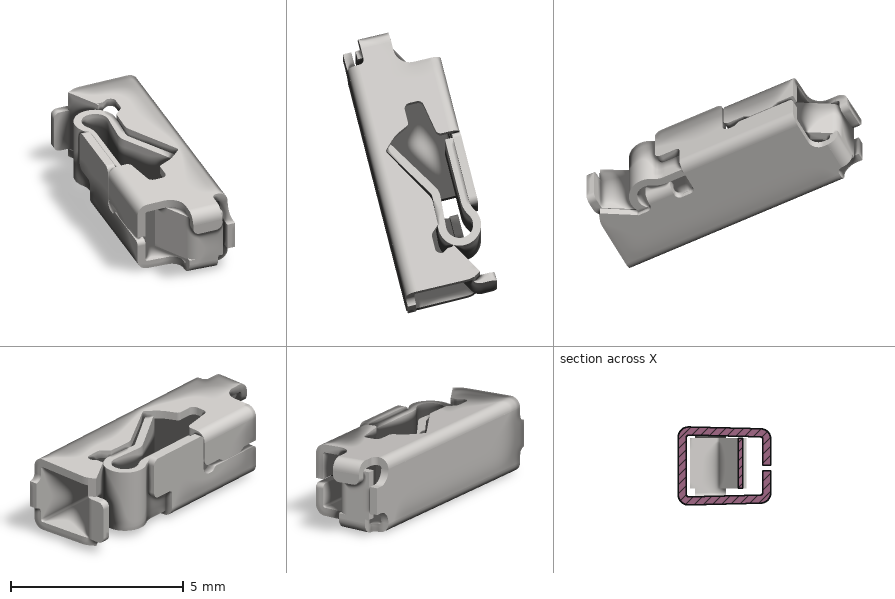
import cadquery as cq
import math


sheet = 0.25
leaf = 0.23
length = 8
depth = 2.7
half_height_back = 2.3 / 2
half_height_front = 1.08
bend_radius = 0.31
slope = math.radians(30)

cage_left = 0.2
cage_right = 7.19
front_right = 6.9
flap_left = 4.63
plate_left = 2.39
plate_foot = 3.18

mid = sheet / 2
taper = math.degrees(math.atan((half_height_back - half_height_front) / depth))
bend_end = half_height_front - bend_radius


tolerance = 8e-08


def unit(start, end):
    """Direction from one point to another as a unit vector."""
    distance = math.hypot(end[0] - start[0], end[1] - start[1])
    return (end[0] - start[0]) / distance, (end[1] - start[1]) / distance


def rounded_outline(plane, corners):
    """Closed wire through (u, v, radius) corners, each rounded by a tangent arc."""
    pieces = []
    for i, (u, v, radius) in enumerate(corners):
        to_prev = unit((u, v), corners[i - 1])
        to_next = unit((u, v), corners[(i + 1) % len(corners)])
        half_angle = math.acos(to_prev[0] * to_next[0] + to_prev[1] * to_next[1]) / 2
        reach = radius / math.tan(half_angle)
        bisector = unit((0, 0), (to_prev[0] + to_next[0], to_prev[1] + to_next[1]))
        to_arc = radius / math.sin(half_angle) - radius
        start = (u + reach * to_prev[0], v + reach * to_prev[1])
        middle = (u + to_arc * bisector[0], v + to_arc * bisector[1])
        end = (u + reach * to_next[0], v + reach * to_next[1])
        pieces.append((radius, start, middle, end))

    wire = plane.moveTo(*pieces[0][3])
    here = pieces[0][3]
    for radius, start, middle, end in pieces[1:] + pieces[:1]:
        if math.dist(here, start) > tolerance:
            wire = wire.lineTo(*start)
        if radius > 0:
            wire = wire.threePointArc(middle, end)
        here = end
    return wire.close()


def prism(plane_name, corners, start, end):
    """Rounded outline extruded between two positions along the third axis."""
    direction = -1 if plane_name == "XZ" else 1
    plane = cq.Workplane(plane_name).workplane(offset=direction * start)
    return rounded_outline(plane, corners).extrude(direction * (end - start))


def bent_strip(plane_name, path, start, end, thickness=sheet):
    """Strip of even thickness that follows a centre line of (u, v, bend radius) points."""
    sides = []
    last = len(path) - 1
    for offset in (thickness / 2, -thickness / 2):
        side = []
        for i, (u, v, radius) in enumerate(path):
            before = unit(path[max(i - 1, 0)], path[max(i, 1)])
            after = unit(path[min(i, last - 1)], path[min(i + 1, last)])
            spread = 1 + before[0] * after[0] + before[1] * after[1]
            turn = before[0] * after[1] - before[1] * after[0]
            shift_u = -offset * (before[1] + after[1]) / spread
            shift_v = offset * (before[0] + after[0]) / spread
            side_radius = radius - math.copysign(1, turn) * offset if radius > 0 else 0
            side.append((u + shift_u, v + shift_v, side_radius))
        sides.append(side)
    return prism(plane_name, sides[0] + sides[1][::-1], start, end)


def block(x, y, z):
    """Box given by its (low, high) range along each axis."""
    size = (x[1] - x[0], y[1] - y[0], z[1] - z[0])
    return cq.Workplane("XY").box(*size, centered=False).translate((x[0], y[0], z[0]))


lip_outer = 0.14
lip_bend = (lip_outer + mid, 0.55, 0.2)
lip_panel_run = 0.98
lip_bottom = -0.82
lip_top = 0.5
tab_corner = 0.19
nose_x = 0.35


def slant_face(x):
    """Y of the panel's front face; the cage walls are trimmed flush with it."""
    return lip_bend[1] + (x - lip_bend[0]) * math.tan(slope) - mid / math.cos(slope)


tab_front = 1.3
tab_back = 2.2
top_bend_x = 7.63
bottom_bend_x = 7.36
top_root = 0.48
bottom_root = 0.34

nose_start_y = slant_face(nose_x) + (nose_x - cage_left) / math.tan(slope)
left_edge = [
    (cage_left, depth, 0),
    (cage_left, nose_start_y, 0.56),
    (nose_x, slant_face(nose_x), 0),
]


def right_edge(tab_end, tab_root):
    return [
        (front_right, 0, 0),
        (front_right, tab_front, tab_root),
        (tab_end, tab_front, 0),
        (tab_end, tab_back, 0),
        (cage_right, tab_back, 0.16),
        (cage_right, depth, 0),
    ]


panel_notch_x = 1.26
top_outline = left_edge + [
    (panel_notch_x, slant_face(panel_notch_x), 0),
    (panel_notch_x, 1.19, 0.08),
    (1.14, 1.36, 0.08),
    (1.19, 1.56, 0.16),
    (1.76, 1.56, 0.16),
    (2.0, 1.3, 0.04),
    (2.8, 1.28, 0.4),
    (4.5, 2.26, 0.1),
    (4.88, 1.88, 0.96),
    (5.11, 1.41, 0.11),
    (5.74, 1.41, 0.18),
    (5.74, 0.86, 0.18),
    (flap_left, 0.66, 0.16),
    (flap_left, 0, 0),
] + right_edge(top_bend_x, top_root)

tongue_left = 1.78
tongue_right = 2.58
tongue_front = 0.55
notch_y = 1.02
notch_corner = 0.15
tongue_bend_y = 0.86
slant_end_x = 1.3
bottom_outline = left_edge + [
    (slant_end_x, slant_face(slant_end_x), 0),
    (slant_end_x, notch_y, 0),
    (tongue_left, notch_y, notch_corner),
    (tongue_left, tongue_bend_y, 0),
    (tongue_right, tongue_bend_y, 0),
    (tongue_right, notch_y, notch_corner),
    (plate_foot, notch_y, notch_corner),
    (plate_foot, 0, 0),
] + right_edge(bottom_bend_x, bottom_root)

section = [
    (0, -half_height_front),
    (depth, -half_height_back),
    (depth, half_height_back),
    (0, half_height_front),
]
tube_outer = cq.Workplane("YZ").polyline(section).close().extrude(length).edges("|X").fillet(bend_radius)
tube_inner = tube_outer.faces("<X").wires().toPending().offset2D(-sheet).extrude(length, combine=False)
tube = tube_outer.cut(tube_inner)
tube = tube.cut(block((0, length), (0, sheet), (-bend_end, bend_end)))

wall_back_edge = half_height_back - bend_radius
upper = tube.intersect(prism("XY", top_outline, 0, half_height_back))
lower = tube.intersect(prism("XY", bottom_outline, -half_height_back, 0))
cage = upper.union(lower)

tab_half = 0.41
left_root = 0.19
right_root = 0.4
left_tab_end = 0
right_tab_end = 7.78
back_profile = [
    (cage_left, -wall_back_edge, 0),
    (cage_left, -tab_half, left_root),
    (left_tab_end, -tab_half, 0),
    (left_tab_end, tab_half, 0),
    (cage_left, tab_half, left_root),
    (cage_left, wall_back_edge, 0),
    (cage_right, wall_back_edge, 0),
    (cage_right, tab_half, right_root),
    (right_tab_end, tab_half, 0),
    (right_tab_end, -tab_half, 0),
    (cage_right, -tab_half, right_root),
    (cage_right, -wall_back_edge, 0),
]
back_wall = prism("XZ", back_profile, depth - sheet, depth)

plate_right = 4.58
plate_top = 1.06
plate_step = -0.2
relief_bottom = -0.27
seam_low = -0.14
plate_profile = [
    (plate_foot, -bend_end, 0),
    (plate_foot, plate_step, 0.12),
    (plate_left, plate_step, 0.19),
    (plate_left, plate_top, 0.19),
    (plate_right, plate_top, 0.16),
    (plate_right, relief_bottom, 0.26),
    (4.98, relief_bottom, 0.16),
    (5.12, seam_low, 0.12),
    (front_right, seam_low, 0.14),
    (front_right, -bend_end, 0),
]
plate = prism("XZ", plate_profile, 0, sheet)

flap_bottom = 0.02
bump_bottom = -0.1
flap_profile = [
    (flap_left, bend_end, 0),
    (flap_left, flap_bottom, 0.18),
    (5.28, flap_bottom, 0.08),
    (5.47, bump_bottom, 0.08),
    (6.19, bump_bottom, 0.08),
    (6.38, flap_bottom, 0.08),
    (front_right, flap_bottom, 0),
    (front_right, bend_end, 0),
]
flap = prism("XZ", flap_profile, 0, sheet)

panel_end_x = lip_bend[0] + lip_panel_run
panel_end = (panel_end_x, lip_bend[1] + lip_panel_run * math.tan(slope), 0)
panel_top = half_height_front
lip = bent_strip("XY", [(lip_bend[0], 0, 0), lip_bend, panel_end], lip_bottom, lip_top)
lip = lip.edges("|X and <Y").fillet(tab_corner)

nose = (nose_x - mid * math.sin(slope), slant_face(nose_x) + mid * math.cos(slope), 0)
panel = bent_strip("XY", [nose, panel_end], lip_top, panel_top)

end_bend = 0.22
top_tab_x = length - mid
end_wall_outer = 7.69
end_wall_x = end_wall_outer - mid
end_wall_bottom = -0.65
end_wall_top = 0.81
tab_overlap = 0.06
wall_mid_z = half_height_front - mid

top_path = [(top_bend_x - mid, wall_mid_z, 0), (top_tab_x, wall_mid_z, end_bend), (top_tab_x, tab_half, 0)]
top_tab = bent_strip("XZ", top_path, tab_front, tab_back)
top_tab = top_tab.edges("|X and <Z").fillet(tab_corner)
top_tab = top_tab.rotate((0, 0, half_height_front), (1, 0, half_height_front), taper)

bottom_path = [
    (bottom_bend_x - mid, -wall_mid_z, 0),
    (end_wall_x, -wall_mid_z, end_bend),
    (end_wall_x, end_wall_bottom + tab_overlap, 0),
]
bottom_tab = bent_strip("XZ", bottom_path, tab_front, tab_back)
bottom_tab = bottom_tab.rotate((0, 0, -half_height_front), (1, 0, -half_height_front), -taper)

end_wall_back = 2.35
guide_end = (6.45, 0.82, 0)
guide_bend_y = guide_end[1] + (end_wall_x - guide_end[0]) * math.tan(slope)
end_path = [(end_wall_x, end_wall_back, 0), (end_wall_x, guide_bend_y, 0.2), guide_end]
end_wall = bent_strip("XY", end_path, end_wall_bottom, end_wall_top)

tongue_top = -0.48
tongue_mid_y = tongue_front + mid
tongue_floor = -half_height_front + mid
tongue_path = [(notch_y, tongue_floor, 0), (tongue_mid_y, tongue_floor, 0.14), (tongue_mid_y, tongue_top, 0)]
tongue = bent_strip("YZ", tongue_path, tongue_left, tongue_right)
tongue = tongue.edges("|Y and >Z").fillet(tab_corner)
tongue = tongue.rotate((0, 0, -half_height_front), (1, 0, -half_height_front), -taper)

loop_x = 1.89
loop_y = 0.69
loop_radius = 0.51
spring_half = 0.94
strip_y = sheet + leaf / 2
strip_end = 4.46
rise = math.radians(30)
leg_drop = math.radians(4)
tip = (4.86, 2.27, 0)
blade_slope = math.radians(31.5)

loop_left = loop_x - loop_radius
loop_low = loop_y - loop_radius * math.tan((math.pi / 2 + rise) / 2)
loop_high = loop_y + loop_radius * math.tan((math.pi / 2 + leg_drop) / 2)
rise_x = loop_left + (strip_y - loop_low) / math.tan(rise)
blade_drop = loop_high - tip[1] + (tip[0] - loop_left) * math.tan(blade_slope)
knee_run = blade_drop / (math.tan(blade_slope) + math.tan(leg_drop))
knee_x = loop_left + knee_run
knee_y = loop_high - knee_run * math.tan(leg_drop)
spring_path = [
    (strip_end, strip_y, 0),
    (rise_x, strip_y, 0.64),
    (loop_left, loop_low, loop_radius),
    (loop_left, loop_high, loop_radius),
    (knee_x, knee_y, 0.4),
    tip,
]
spring = bent_strip("XY", spring_path, -spring_half, spring_half, leaf)

result = cage
for piece in (back_wall, plate, flap, lip, panel, top_tab, bottom_tab, end_wall, tongue, spring):
    result = result.union(piece)